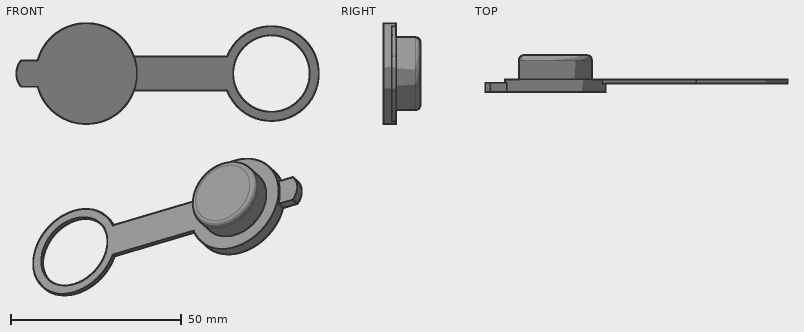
import cadquery as cq

disc_radius = 14.8
disc_thickness = 3.7

plug_radius = 10.75
overall_depth = 10.9
plug_height = overall_depth - disc_thickness
plug_edge_fillet = 1.6

tab_width = 7.7
tab_thickness = 2.8
tab_reach = 20.6
tab_end_bulge = 1.4

strap_width = 10.0
strap_thickness = 1.2
ring_outer_radius = 13.95
ring_inner_radius = 11.2
overall_length = 88.9
ring_center_x = overall_length - tab_reach - ring_outer_radius


def plane_at(y):
    """XZ sketch plane at height y; extrusion runs toward +Y."""
    return cq.Workplane(cq.Plane(origin=(0, y, 0), xDir=(1, 0, 0), normal=(0, -1, 0)))


def make_cap():
    disc = plane_at(0).circle(disc_radius).extrude(-disc_thickness)
    plug = plane_at(disc_thickness).circle(plug_radius).extrude(-plug_height)
    plug = plug.faces(">Y").edges().fillet(plug_edge_fillet)
    return disc.union(plug)


def make_tab():
    half_width = tab_width / 2
    corner_x = -tab_reach + tab_end_bulge
    return (
        plane_at(0)
        .moveTo(0, -half_width)
        .lineTo(corner_x, -half_width)
        .threePointArc((-tab_reach, 0), (corner_x, half_width))
        .lineTo(0, half_width)
        .close()
        .extrude(-tab_thickness)
    )


def make_strap_and_ring():
    base = plane_at(disc_thickness - strap_thickness)
    strap = base.center(ring_center_x / 2, 0).rect(ring_center_x, strap_width).extrude(-strap_thickness)
    ring_plane = plane_at(disc_thickness - strap_thickness).center(ring_center_x, 0)
    ring = ring_plane.circle(ring_outer_radius).extrude(-strap_thickness)
    opening = ring_plane.circle(ring_inner_radius).extrude(-strap_thickness)
    return strap.union(ring).cut(opening)


result = make_cap().union(make_tab()).union(make_strap_and_ring())